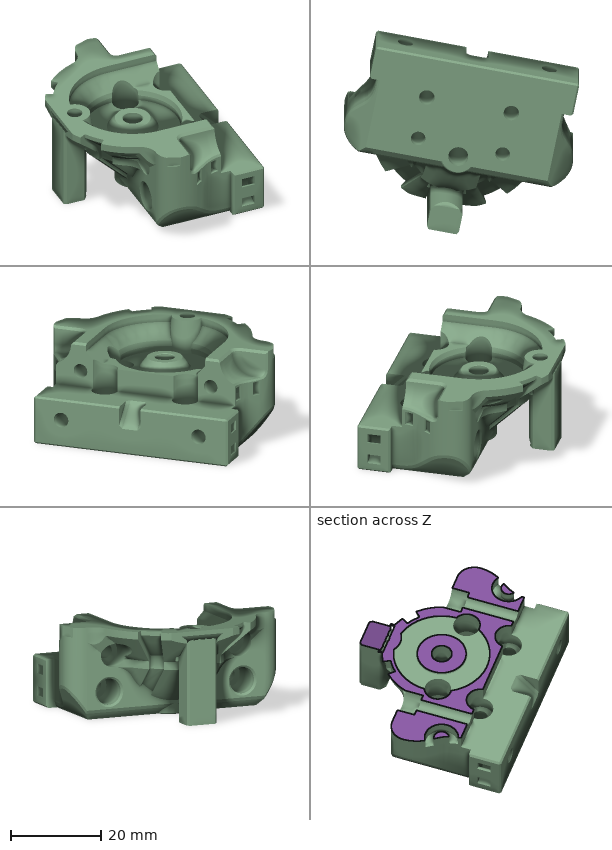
import cadquery as cq
import math

SIDES = (-1, 1)
FAR = 60.0

HEIGHT = 21.18
FRONT_Y = -4.0
BLOCK_BACK_Y = 12.0
EAR_RADIUS = -FRONT_Y
EAR_X = 25.75
EAR_CENTRE_X = EAR_X - EAR_RADIUS
FLANK_ANGLE = 34.0
FLANK_CONVEX_RADIUS = 9.1
FLANK_STRAIGHT = 3.0
NECK_X = 21.15
BAR_FRONT_Y = 14.3

SIDE_BEVEL_X = 20.5
SIDE_BEVEL_RISE = 7.3
FRONT_BEVEL_Z = 1.65
FRONT_BEVEL_STEP = 0.5
FRONT_BEVEL_TOP_Z = 2.43
UNDERSIDE_BAND = 0.05
BEVEL_EDGE = 0.45

BAR_LEFT_X = -23.05
BAR_RIGHT_X = 22.77
BAR_BACK_Y = 21.85
BAR_HEIGHT = 11.0
BAR_CHAMFER = 0.4
NOTCH_X = 2.5
NOTCH_FLOOR_X = 1.75
NOTCH_FRONT_Y = 16.8

RIM_RADIUS = 19.4
RIM_BOTTOM_Z = 19.5
CUP_RADIUS = 12.45
CUP_TOP_Z = 13.4
CUP_BOTTOM_Z = 11.6
TAB_FRONT_Y = -17.9
RECESS_ANGLES = (45.0, 60.5)
RECESS_RIM_RADIUS = 17.7
RECESS_RIM_Z = 20.2
RECESS_CUP_RADIUS = 11.5
RECESS_CUP_Z = 14.6
WEB_OUTER_Z = 18.0
WEB_END_ANGLE = 38.0
WEB_INNER = (18.2, FRONT_Y, 15.1)
CUP_BLEND_X = 14.8

CAVITY_RADIUS = 14.1
CAVITY_WALL_Z = 19.4
FLOOR_RADIUS = 11.0
FLOOR_Z = 16.1
POCKET_RADIUS = 10.6
POCKET_LIP_Z = 15.0
POCKET_Z = 13.8

PIVOT_TOP_RADIUS = 3.95
PIVOT_BASE_RADIUS = 5.7
PIVOT_FOOT_RADIUS = 4.0
PIVOT_FOOT_CHAMFER = 0.25
PIVOT_HOLE = 4.4
PIVOT_HOLE_CHAMFER = 0.15
SCREW_BOSS_Y = -14.05
SCREW_BOSS_TOP_RADIUS = 3.45
SCREW_BOSS_BASE_RADIUS = 4.45
SCREW_BOSS_HOLE = 3.4
BOLT_X = 9.53
BOLT_SEAT = 5.9
BOLT_SEAT_Z = 8.0
BOLT_ROWS = ((2.47, 3.2), (12.34, 3.4))

UPPER_X = 15.4
UPPER_Z = 14.7
UPPER_HOLE = 3.2
UPPER_SEAT = 5.8
UPPER_SEAT_Y = 0.0
LOWER_X = 16.25
LOWER_Z = 6.25
LOWER_HOLE = 3.4
LOWER_SEAT = 5.9
LOWER_SEAT_DEPTH = 8.0
LOWER_MOUTH_CHAMFER = 0.45
LOWER_SLOT_RISE = 1.3

SCOOP_INNER_X = 17.6
SCOOP_RADIUS = 5.4
SCOOP_FLOOR_Z = 15.5
SCOOP_FRONT_Y = 2.95
SCOOP_FILLET = 1.45
SCOOP_CHAMFER = 0.55
BACK_CHAMFER = 0.5
SCOOP_LIP_CHAMFER = 0.35
EAR_FLAT_Y = (0.3, -2.8)
EAR_FLAT_X = 24.6
EAR_FLAT_Z = 19.0

BAR_TIE_Y = (16.4, 19.45)
BAR_TIE_Z = 5.57
BAR_TIE_RADII = (1.47, 3.63)
EAR_TIE_Z = (11.8, 14.9)
EAR_TIE_X = 22.4
EAR_TIE_Y = 7.85
EAR_TIE_RADII = (1.75, 3.7)

POST_X = 3.6
POST_FRONT_Y = -18.12
POST_BACK_Y = -11.65
POST_TOP_Z = 19.2
POST_BACK_CORNER_Y = -13.34
POST_CHAMFER_X = 0.45
POST_CHAMFER_Y = 0.65
POST_FOOT_NICK = ((0.0, 1.7), (1.05, 0.65), (0.55, 0.0))
POST_GAP = 0.1
RIDGE_WIDTH = 0.5
RIDGE_HEIGHT = 0.15
RIDGE_PITCH = 1.65
RIDGE_COUNT = 4
POST_RECESS_TOP_X = 5.0
POST_RECESS_X = 3.8
POST_RECESS_Z = 20.2
POST_RECESS_SLOPED = 0.9


def box(x0, x1, y0, y1, z0, z1):
    return cq.Workplane("XY").box(x1 - x0, y1 - y0, z1 - z0, centered=False).translate((x0, y0, z0))


def upright(x, y, diameter, z0, z1):
    return cq.Workplane("XY", origin=(x, y, z0)).circle(diameter / 2).extrude(z1 - z0)


def along_y(x, z, diameter, y0, y1):
    return cq.Workplane("XZ", origin=(x, y0, z)).circle(diameter / 2).extrude(y0 - y1)


def polar(radius, angle):
    """Point at `angle` degrees below the +X axis."""
    return (radius * math.cos(math.radians(angle)), -radius * math.sin(math.radians(angle)))


def mirrored(points):
    return [(-x, y) for x, y in points]


def turned(profile, degrees=360.0):
    """Solid turned about Z from (radius, Z) points, starting at +X."""
    return cq.Workplane("XZ").polyline(profile).close().revolve(degrees, (0, 0, 0), (0, 1, 0))


def slanted(wire, vector):
    return cq.Workplane(obj=cq.Solid.extrudeLinear(cq.Face.makeFromWires(wire), cq.Vector(*vector)))


def both_sides(solid):
    return solid.union(solid.mirror("YZ"))


def front_blend(start_x, round_radius):
    """Middle and end of the hollow arc from the front face at `start_x` onto a circle about the Z axis.

    The arc is tangent to both, which sets its radius.
    """
    radius = (start_x**2 + FRONT_Y**2 - round_radius**2) / (2 * (round_radius + FRONT_Y))
    centre_y = FRONT_Y - radius
    share = round_radius / (round_radius + radius)
    end = (start_x * share, centre_y * share)
    middle = (math.atan2(-centre_y, -start_x) + math.pi / 2) / 2
    return (start_x + radius * math.cos(middle), centre_y + radius * math.sin(middle)), end


def flank_points():
    """Right flank from the ear tip back to the neck: arc, straight, arc."""
    lean = math.radians(FLANK_ANGLE)

    def on_convex(angle):
        return (EAR_X - FLANK_CONVEX_RADIUS * (1 - math.cos(angle)), FLANK_CONVEX_RADIUS * math.sin(angle))

    straight_start = on_convex(lean)
    straight_end = (
        straight_start[0] - FLANK_STRAIGHT * math.sin(lean),
        straight_start[1] + FLANK_STRAIGHT * math.cos(lean),
    )
    hollow_radius = (straight_end[0] - NECK_X) / (1 - math.cos(lean))
    hollow_centre_x = NECK_X + hollow_radius
    hollow_end_y = straight_end[1] + hollow_radius * math.sin(lean)
    hollow_mid = (
        hollow_centre_x - hollow_radius * math.cos(lean / 2),
        hollow_end_y - hollow_radius * math.sin(lean / 2),
    )
    return [(EAR_X, 0), on_convex(lean / 2), straight_start, straight_end, hollow_mid, (NECK_X, hollow_end_y)]


def block():
    tip, convex_mid, straight_start, straight_end, hollow_mid, hollow_end = flank_points()
    ear_mid = (EAR_CENTRE_X + polar(EAR_RADIUS, 45)[0], polar(EAR_RADIUS, 45)[1])
    half = (
        cq.Workplane("XY")
        .moveTo(0, FRONT_Y)
        .lineTo(EAR_CENTRE_X, FRONT_Y)
        .threePointArc(ear_mid, tip)
        .threePointArc(convex_mid, straight_start)
        .lineTo(*straight_end)
        .threePointArc(hollow_mid, hollow_end)
        .lineTo(NECK_X, BAR_FRONT_Y)
        .lineTo(0, BAR_FRONT_Y)
        .close()
        .extrude(HEIGHT)
    )
    slope = SIDE_BEVEL_RISE / (EAR_X - SIDE_BEVEL_X)
    side_bevel = (
        cq.Workplane("XZ", origin=(0, FAR, 0))
        .polyline([(SIDE_BEVEL_X, 0), (FAR, slope * (FAR - SIDE_BEVEL_X)), (FAR, 0)])
        .close()
        .extrude(2 * FAR)
    )
    front_bevel = (
        cq.Workplane("YZ", origin=(-FAR, 0, 0))
        .polyline([
            (FRONT_Y, 0), (FRONT_Y, FRONT_BEVEL_TOP_Z),
            (FRONT_Y + FRONT_BEVEL_STEP, FRONT_BEVEL_Z), (FRONT_Y + FRONT_BEVEL_STEP + FRONT_BEVEL_Z, 0),
        ])
        .close()
        .extrude(2 * FAR)
    )
    half = half.cut(side_bevel)
    bevel_face = half.faces(cq.selectors.DirectionMinMaxSelector(cq.Vector(slope, 0, -1), True))
    flank_edges = [edge for edge in bevel_face.edges().vals() if edge.BoundingBox().zmax > UNDERSIDE_BAND
                   and edge.Center().y < BAR_FRONT_Y - UNDERSIDE_BAND]
    half = half.newObject(flank_edges).chamfer(BEVEL_EDGE).cut(front_bevel)
    above_bar = box(-FAR, FAR, BLOCK_BACK_Y, FAR, BAR_HEIGHT, FAR)
    back_edge = cq.Workplane("YZ", origin=(-FAR, 0, 0)).polyline([
        (BLOCK_BACK_Y, HEIGHT), (BLOCK_BACK_Y - BACK_CHAMFER, HEIGHT), (BLOCK_BACK_Y, HEIGHT - BACK_CHAMFER),
    ]).close().extrude(2 * FAR)
    return both_sides(half).cut(above_bar).cut(back_edge)


def rear_bar():
    bar = box(BAR_LEFT_X, BAR_RIGHT_X, BAR_FRONT_Y, BAR_BACK_Y, 0, BAR_HEIGHT)
    bar = bar.faces("<X or >X or >Y").edges().chamfer(BAR_CHAMFER)
    run = BAR_BACK_Y - NOTCH_FRONT_Y + 1
    side = NOTCH_X - NOTCH_FLOOR_X
    back = BAR_BACK_Y + 1
    floor_z = BAR_HEIGHT - run
    section = [(NOTCH_FLOOR_X, floor_z), (NOTCH_X, floor_z + side), (NOTCH_X, FAR)]
    wire = cq.Wire.makePolygon([cq.Vector(x, back, z) for x, z in section + mirrored(section)[::-1]], close=True)
    return bar.cut(slanted(wire, (0, -FAR, FAR)))


def bowl():
    cone = turned([
        (0, HEIGHT), (RIM_RADIUS, HEIGHT), (RIM_RADIUS, RIM_BOTTOM_Z),
        (CUP_RADIUS, CUP_TOP_Z), (CUP_RADIUS, CUP_BOTTOM_Z), (0, CUP_BOTTOM_Z),
    ])
    recess_span = RECESS_ANGLES[1] - RECESS_ANGLES[0]
    recess = turned([
        (FAR, HEIGHT), (RECESS_RIM_RADIUS, HEIGHT), (RECESS_RIM_RADIUS, RECESS_RIM_Z),
        (RECESS_CUP_RADIUS, RECESS_CUP_Z), (RECESS_CUP_RADIUS, CUP_BOTTOM_Z), (FAR, CUP_BOTTOM_Z),
    ], recess_span)
    centre = recess.val().Center()
    swept_to = math.degrees(math.atan2(centre.y, centre.x))
    wanted = -sum(RECESS_ANGLES) / 2
    recess = recess.rotate((0, 0, 0), (0, 0, 1), wanted - swept_to)
    cone = cone.intersect(box(-FAR, FAR, TAB_FRONT_Y, 0, 0, FAR))
    return cone.cut(recess).cut(recess.mirror("YZ"))


def cup_ramp():
    """The cup outline swept down and back at 45 degrees until it runs into the front face."""
    start, end = RECESS_ANGLES
    blend_mid, blend_end = front_blend(CUP_BLEND_X, CUP_RADIUS)
    right = [
        polar(CUP_RADIUS, start - 1), polar(CUP_RADIUS, start),
        polar(RECESS_CUP_RADIUS, start), polar(RECESS_CUP_RADIUS, (start + end) / 2),
        polar(RECESS_CUP_RADIUS, end), polar(CUP_RADIUS, end),
    ]
    left = mirrored(right)
    outline = (
        cq.Workplane("XY", origin=(0, 0, CUP_BOTTOM_Z))
        .moveTo(CUP_BLEND_X, FRONT_Y)
        .threePointArc(blend_mid, blend_end)
        .threePointArc(right[0], right[1])
        .lineTo(*right[2])
        .threePointArc(right[3], right[4])
        .lineTo(*right[5])
        .threePointArc((0, -CUP_RADIUS), left[5])
        .lineTo(*left[4])
        .threePointArc(left[3], left[2])
        .lineTo(*left[1])
        .threePointArc(left[0], mirrored([blend_end])[0])
        .threePointArc(mirrored([blend_mid])[0], (-CUP_BLEND_X, FRONT_Y))
        .close()
        .val()
    )
    run = CUP_RADIUS
    ramp = slanted(outline, (0, run, -run))
    collar = slanted(outline, (0, 0, RECESS_CUP_Z - CUP_BOTTOM_Z))
    bowl_limit = box(-FAR, FAR, -FAR, 0, 0, CUP_TOP_Z)
    return ramp.intersect(box(-FAR, FAR, -FAR, 0, 0, FAR)).union(collar.intersect(bowl_limit))


def ear_webs():
    """Rounded webs joining the bowl rim to the ears, with a leaning underside."""
    arc_mid, touch = front_blend(EAR_CENTRE_X, RIM_RADIUS)
    web = (
        cq.Workplane("XY")
        .moveTo(EAR_CENTRE_X, FRONT_Y)
        .threePointArc(arc_mid, touch)
        .threePointArc(polar(RIM_RADIUS, WEB_END_ANGLE - 5), polar(RIM_RADIUS, WEB_END_ANGLE))
        .lineTo(UPPER_X, FRONT_Y)
        .close()
        .extrude(HEIGHT)
    )
    outer = cq.Vector(EAR_CENTRE_X, FRONT_Y, WEB_OUTER_Z)
    inner = cq.Vector(*WEB_INNER)
    rim = cq.Vector(touch[0], touch[1], RIM_BOTTOM_Z)
    normal = (inner - outer).cross(rim - outer)
    if normal.z < 0:
        normal = normal * -1
    above = cq.Workplane(cq.Plane(origin=outer.toTuple(), normal=normal.toTuple()))
    return both_sides(web.intersect(above.rect(FAR, FAR).extrude(FAR)))


def cavity():
    profile = [
        (0, HEIGHT), (CAVITY_RADIUS, HEIGHT), (CAVITY_RADIUS, CAVITY_WALL_Z),
        (FLOOR_RADIUS, FLOOR_Z), (0, FLOOR_Z),
    ]
    round_part = turned(profile)
    straight = cq.Workplane("XZ").polyline(profile + mirrored(profile[1:4])[::-1]).close().extrude(-FAR)
    pocket = turned([
        (FLOOR_RADIUS, FLOOR_Z), (POCKET_RADIUS, POCKET_LIP_Z), (POCKET_RADIUS, POCKET_Z),
        (PIVOT_BASE_RADIUS, POCKET_Z), (PIVOT_TOP_RADIUS, FLOOR_Z),
    ])
    return round_part.union(straight).union(pocket)


def screw_boss():
    cone = cq.Workplane(obj=cq.Solid.makeCone(
        SCREW_BOSS_BASE_RADIUS, SCREW_BOSS_TOP_RADIUS, HEIGHT - POCKET_Z, cq.Vector(0, SCREW_BOSS_Y, POCKET_Z)))
    return cone.intersect(upright(0, 0, 2 * CAVITY_RADIUS, 0, HEIGHT))


def upright_holes():
    holes = upright(0, 0, PIVOT_HOLE, 0, HEIGHT)
    mouth = PIVOT_HOLE / 2 + PIVOT_HOLE_CHAMFER
    holes = holes.union(turned([(0, FLOOR_Z), (mouth, FLOOR_Z), (0, FLOOR_Z - mouth)]))
    holes = holes.union(upright(0, SCREW_BOSS_Y, SCREW_BOSS_HOLE, CUP_BOTTOM_Z, HEIGHT))
    for side in SIDES:
        for y, diameter in BOLT_ROWS:
            holes = holes.union(upright(side * BOLT_X, y, diameter, 0, HEIGHT))
            holes = holes.union(upright(side * BOLT_X, y, BOLT_SEAT, BOLT_SEAT_Z, HEIGHT))
    return holes


def front_holes():
    holes = along_y(UPPER_X, UPPER_Z, UPPER_HOLE, -FAR, FAR)
    holes = holes.union(along_y(UPPER_X, UPPER_Z, UPPER_SEAT, -FAR, UPPER_SEAT_Y))
    seat_y = FRONT_Y + LOWER_SEAT_DEPTH
    holes = holes.union(along_y(LOWER_X, LOWER_Z, LOWER_HOLE, FRONT_Y, FAR))
    holes = holes.union(along_y(LOWER_X, LOWER_Z, LOWER_SEAT, FRONT_Y, seat_y))
    mouth = cq.Solid.makeCone(
        LOWER_SEAT / 2 + LOWER_MOUTH_CHAMFER, LOWER_SEAT / 2, LOWER_MOUTH_CHAMFER,
        cq.Vector(LOWER_X, FRONT_Y, LOWER_Z), cq.Vector(0, 1, 0))
    holes = holes.union(cq.Workplane(obj=mouth))
    high_end = cq.Vector(LOWER_X, seat_y, LOWER_Z + LOWER_SLOT_RISE)
    high_circle = cq.Wire.makeCircle(LOWER_HOLE / 2, high_end, cq.Vector(0, 1, 0))
    holes = holes.union(slanted(high_circle, (0, BAR_BACK_Y - seat_y, -LOWER_SLOT_RISE)))
    return both_sides(holes)


def ear_scoops():
    """Open channel over each ear: curved floor, filleted front end and chamfered mouth."""
    centre_x = SCOOP_INNER_X + SCOOP_RADIUS
    centre_z = SCOOP_FLOOR_Z + SCOOP_RADIUS
    arc_mid = polar(SCOOP_RADIUS, 135)
    channel = (
        cq.Workplane("XZ", origin=(0, SCOOP_FRONT_Y, 0))
        .moveTo(SCOOP_INNER_X, FAR)
        .lineTo(SCOOP_INNER_X, centre_z)
        .threePointArc((centre_x + arc_mid[0], centre_z + arc_mid[1]), (centre_x, SCOOP_FLOOR_Z))
        .lineTo(FAR, SCOOP_FLOOR_Z)
        .lineTo(FAR, FAR)
        .close()
        .extrude(-FAR)
    )
    channel = channel.faces("<Y").edges("<X or <Z or %CIRCLE").fillet(SCOOP_FILLET)
    mouth_plan = box(SCOOP_INNER_X, FAR, SCOOP_FRONT_Y, FAR, HEIGHT - SCOOP_CHAMFER, HEIGHT)
    mouth_plan = mouth_plan.edges("|Z and <X and <Y").fillet(SCOOP_FILLET)
    mouth = mouth_plan.faces("<Z").wires().toPending().workplane(invert=True).extrude(
        SCOOP_CHAMFER, taper=-45, combine=False)
    return both_sides(channel.union(mouth))


def ear_flats():
    flat = (
        cq.Workplane("XY", origin=(0, 0, EAR_FLAT_Z))
        .polyline([(EAR_X, EAR_FLAT_Y[0]), (EAR_FLAT_X, EAR_FLAT_Y[1]), (FAR, EAR_FLAT_Y[1]), (FAR, EAR_FLAT_Y[0])])
        .close()
        .extrude(HEIGHT)
    )
    return both_sides(flat)


def bar_tie_tunnels():
    """A curved tunnel in each end of the bar, open at two windows one above the other."""
    tunnels = cq.Workplane("XY")
    for end_x in (BAR_LEFT_X, BAR_RIGHT_X):
        ring = (
            cq.Workplane("XZ", origin=(end_x, BAR_TIE_Y[0], BAR_TIE_Z))
            .circle(BAR_TIE_RADII[1])
            .circle(BAR_TIE_RADII[0])
            .extrude(BAR_TIE_Y[0] - BAR_TIE_Y[1])
        )
        tunnels = tunnels.add(ring)
    return tunnels.combine()


def ear_tie_tunnels():
    """A curved tunnel in each flank, open at two windows side by side."""
    ring = (
        cq.Workplane("XY", origin=(EAR_TIE_X, EAR_TIE_Y, EAR_TIE_Z[0]))
        .circle(EAR_TIE_RADII[1])
        .circle(EAR_TIE_RADII[0])
        .extrude(EAR_TIE_Z[1] - EAR_TIE_Z[0])
    )
    return both_sides(ring)


def post_recess():
    """Groove under the front tab that clears the sloping top of the post."""
    start_y = TAB_FRONT_Y - 1
    top_z = POST_RECESS_Z + 1
    right = [
        (POST_RECESS_TOP_X, top_z), (POST_RECESS_X, top_z - POST_RECESS_SLOPED), (POST_RECESS_X, CUP_BOTTOM_Z),
    ]
    section = right + mirrored(right)[::-1]
    wire = cq.Wire.makePolygon([cq.Vector(x, start_y, z) for x, z in section], close=True)
    run = -CUP_RADIUS - start_y
    return slanted(wire, (0, run, -run))


def support_post():
    plan = (
        cq.Workplane("XY")
        .moveTo(-POST_X, POST_BACK_CORNER_Y)
        .lineTo(-POST_X, POST_FRONT_Y + POST_CHAMFER_Y)
        .lineTo(-POST_X + POST_CHAMFER_X, POST_FRONT_Y)
        .lineTo(POST_X - POST_CHAMFER_X, POST_FRONT_Y)
        .lineTo(POST_X, POST_FRONT_Y + POST_CHAMFER_Y)
        .lineTo(POST_X, POST_BACK_CORNER_Y)
        .threePointArc((0, POST_BACK_Y), (-POST_X, POST_BACK_CORNER_Y))
        .close()
        .extrude(HEIGHT)
    )

    def side_profile(top_z):
        shoulder_y = -CUP_RADIUS - POST_GAP
        shoulder_z = top_z - (shoulder_y - POST_FRONT_Y)
        ledge_z = CUP_BOTTOM_Z - POST_GAP
        back_z = ledge_z - (POST_BACK_Y - shoulder_y)
        return (
            cq.Workplane("YZ")
            .polyline([
                (POST_FRONT_Y, 0), (POST_FRONT_Y, top_z), (shoulder_y, shoulder_z), (shoulder_y, ledge_z),
                (POST_BACK_Y, back_z), *[(POST_BACK_Y - inset, z) for inset, z in POST_FOOT_NICK],
            ])
            .close()
        )

    post = plan.intersect(side_profile(POST_TOP_Z).extrude(POST_X, both=True))
    first_ridge_x = -(RIDGE_COUNT - 1) * RIDGE_PITCH / 2
    for i in range(RIDGE_COUNT):
        ridge = side_profile(POST_TOP_Z + RIDGE_HEIGHT).extrude(RIDGE_WIDTH / 2, both=True)
        ridge = ridge.translate((first_ridge_x + i * RIDGE_PITCH, 0, 0))
        post = post.union(ridge.intersect(plan))
    return post


def ear_blocks():
    """Block with its scoops cut, the outer lip of each scoop chamfered."""
    body = block().cut(ear_scoops())
    lips = []
    for side in SIDES:
        corners = sorted((side * (NECK_X - 0.3), side * FAR))
        zone = cq.selectors.BoxSelector(
            (corners[0], SCOOP_FRONT_Y + SCOOP_FILLET, SCOOP_FLOOR_Z - 0.1),
            (corners[1], BLOCK_BACK_Y - 0.1, SCOOP_FLOOR_Z + 1))
        lips += body.edges(zone).edges("not #Y").edges("not |X").vals()
    return body.newObject(lips).chamfer(SCOOP_LIP_CHAMFER)


def main_housing():
    body = ear_blocks().union(rear_bar()).union(bowl()).union(cup_ramp()).union(ear_webs())
    body = body.cut(cavity()).union(screw_boss())
    foot = upright(0, 0, 2 * PIVOT_FOOT_RADIUS, 0, CUP_BOTTOM_Z).faces("<Z").edges().chamfer(PIVOT_FOOT_CHAMFER)
    body = body.union(foot)
    cutters = (
        upright_holes(), front_holes(), ear_flats(), bar_tie_tunnels(), ear_tie_tunnels(), post_recess(),
    )
    for cutter in cutters:
        body = body.cut(cutter)
    return body


housing = main_housing()
post = support_post()

result = cq.Compound.makeCompound([*housing.vals(), *post.vals()])